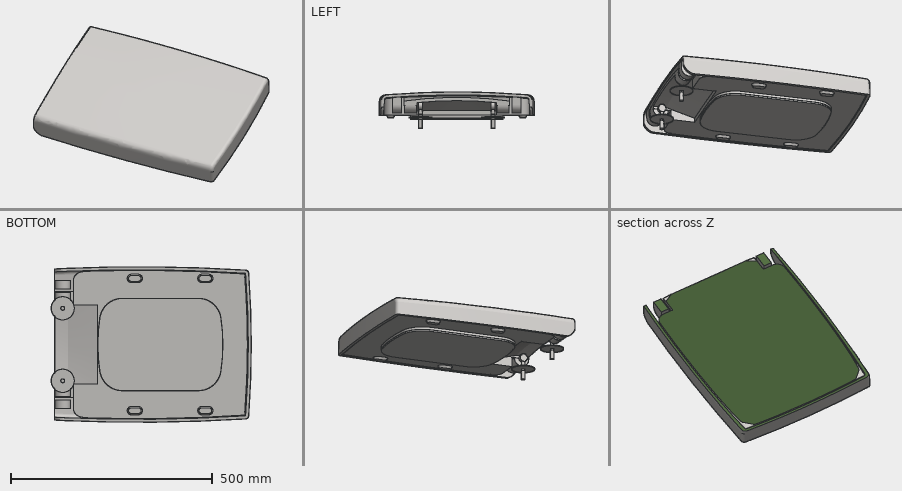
import cadquery as cq

lid_length = 489.0
lid_top = 59.0
back_run = 20.0
lid_start_half_width = 187.0
lid_width = 386.0
lid_mid_half_width = lid_width / 2
lid_mid_x = 223.5
lid_front_half_width = 184.5
lid_front_side_x = 482.0
wall = 7.5
draft_angle = 1.2
ridge_drop = 9.5
back_crown_sag = 10.5
front_crown_sag = 3.5
side_round = 16.5
front_round = 9.0
inner_round_shrink = 0.8
back_edge_round = 3.0
heel_depth = 23.0
heel_height = 22.0
heel_mid = (7.0, 9.5)
edge_margin = 22.5
corner_margin = 5.0
overrun = 10.0

hinge_x = 21.0
hinge_z = 25.5
barrel_diameter = 39.0
post_y = 90.0
ear_y = (137.0, 159.0)
knuckle_y = (100.0, 129.0)

eye_z = 24.0
eye_diameter = 19.5
shank_diameter = 9.0
stud_diameter = 10.0
post_bottom = -31.5
stud_top = -9.5
collar_bottom = 2.0
collar_top = 4.5
eye_clearance = 1.0
disc_diameter = 57.5
disc_bottom = -5.5
disc_rim = 2.0
disc_rise = 2.0

seat_gap = 2.0
seat_bottom = 1.0
seat_wing_x = 47.0
seat_wing_half_width = 180.0
seat_wing_round = 22.5
tongue_x = 1.5
tongue_half_width = 131.0
tunnel_half_width = 98.5
tunnel_straight_x = 35.0
tunnel_top = 37.5
tunnel_end_top = 13.0
tunnel_end_sag = 1.0
arch_sag = 9.5
back_slope_x = 49.5
back_slope_bottom = 45.0
back_slope_top = 48.5
back_slope_top_sag = 3.5

lip_x = (108.0, 418.5)
lip_half_width = 115.0
lip_end_bow = 15.0
lip_corner_round = 56.5
lip_bottom = -9.5
lip_edge_height = 4.0
lip_edge_inset = 0.5

buffer_x = (200.0, 374.5)
buffer_y = 164.0
buffer_straight = 17.0
buffer_width = 21.0
buffer_bottom = -5.5
buffer_draft = 27.0


def arch(x, half_width, top, sag, base):
    """Arched outline across the part at X = x, closed by a straight line at height `base`."""
    return (
        cq.Workplane("YZ", origin=(x, 0, 0))
        .moveTo(-half_width, base)
        .lineTo(-half_width, top - sag)
        .threePointArc((0, top), (half_width, top - sag))
        .lineTo(half_width, base)
        .close()
        .wire()
        .val()
    )


def arch_loft(*outlines, ruled=True):
    """Solid through arched outlines, with straight or smooth sides between them."""
    return cq.Workplane(cq.Solid.makeLoft(list(outlines), ruled))


def crown(top):
    """Solid below the lid's top surface, whose arch flattens towards the front."""
    half = lid_mid_half_width + overrun

    def section(x):
        along = x / lid_length
        ridge = top - ridge_drop * along**2
        sag = back_crown_sag + (front_crown_sag - back_crown_sag) * along
        return arch(x, half, ridge, sag, -overrun)

    return arch_loft(
        section(-back_run - overrun),
        section(lid_mid_x),
        section(lid_length + overrun),
        ruled=False,
    )


def lid_form(inset):
    """Crowned, round-edged solid `inset` inside the outer skin of the lid, running on behind X = 0."""
    start_y = lid_start_half_width - inset
    mid_y = lid_mid_half_width - inset
    front_y = lid_front_half_width - inset
    front_x = lid_front_side_x - inset
    front_tip_x = lid_length - inset
    block = (
        cq.Workplane("XY")
        .moveTo(-back_run, -start_y)
        .threePointArc((lid_mid_x, -mid_y), (front_x, -front_y))
        .threePointArc((front_tip_x, 0), (front_x, front_y))
        .threePointArc((lid_mid_x, mid_y), (-back_run, start_y))
        .close()
        .extrude(lid_top + overrun, taper=draft_angle)
        .intersect(crown(lid_top - inset))
    )
    rounded = block.edges(side_edges()).fillet(side_round - inset)
    return rounded.edges(front_edges(front_x)).fillet(front_round - inner_round_shrink * inset)


def side_edges():
    """Selects the two long top edges before they are rounded."""
    low = lid_top / 2
    front_x = lid_front_side_x - edge_margin
    inner_y = lid_mid_half_width / 2
    right = cq.selectors.BoxSelector((0, -lid_length, low), (front_x, -inner_y, lid_top))
    left = cq.selectors.BoxSelector((0, inner_y, low), (front_x, lid_length, lid_top))
    return right + left


def front_edges(front_x):
    """Selects the front top edge and the front corners, which run into one another."""
    return cq.selectors.BoxSelector(
        (front_x - corner_margin, -lid_length, corner_margin),
        (lid_length, lid_length, lid_top),
    )


def box(x_range, y_range, z_range):
    """Plain block between the given limits."""
    return (
        cq.Workplane("XY")
        .box(
            x_range[1] - x_range[0],
            y_range[1] - y_range[0],
            z_range[1] - z_range[0],
            centered=False,
        )
        .translate((x_range[0], y_range[0], z_range[0]))
    )


def both_sides(part):
    """The part together with its mirror image about Y = 0."""
    return part.union(part.mirror("XZ"))


def barrel(z, y_range, diameter):
    """Cylinder across the part at height `z`, straight above or below the hinge axis."""
    return (
        cq.Workplane("XZ", origin=(hinge_x, y_range[0], z))
        .circle(diameter / 2)
        .extrude(y_range[0] - y_range[1])
    )


def hinge_arm(y_range):
    """Hinge barrel with a block from its axis up."""
    radius = barrel_diameter / 2
    block = box((hinge_x - radius, hinge_x + radius), y_range, (hinge_z, lid_top))
    return both_sides(barrel(hinge_z, y_range, barrel_diameter).union(block))


def make_lid():
    trim = box((0, lid_length), (-lid_length, lid_length), (0, lid_top))
    outer = lid_form(0).intersect(trim)
    outer = outer.faces("<X").edges(">Z").fillet(back_edge_round)
    shell = outer.cut(lid_form(wall))
    heel = (
        cq.Workplane("XZ")
        .moveTo(0, heel_height)
        .threePointArc(heel_mid, (heel_depth, 0))
        .lineTo(0, 0)
        .close()
        .extrude(lid_length, both=True)
    )
    ears = hinge_arm(ear_y).intersect(lid_form(wall / 2))
    return shell.cut(heel).union(ears)


def make_lip():
    length = lip_x[1] - lip_x[0]
    middle_x = (lip_x[0] + lip_x[1]) / 2

    def slab(inset, z_range):
        corner_x = length / 2 - lip_end_bow - inset
        corner_y = lip_half_width - inset
        return (
            cq.Workplane("XY", origin=(middle_x, 0, z_range[0]))
            .moveTo(-corner_x, -corner_y)
            .lineTo(corner_x, -corner_y)
            .threePointArc((corner_x + lip_end_bow, 0), (corner_x, corner_y))
            .lineTo(-corner_x, corner_y)
            .threePointArc((-corner_x - lip_end_bow, 0), (-corner_x, -corner_y))
            .close()
            .extrude(z_range[1] - z_range[0])
            .edges("|Z")
            .fillet(lip_corner_round - inset)
        )

    edge_z = lip_bottom + lip_edge_height
    return slab(0, (edge_z, tunnel_end_top)).union(slab(lip_edge_inset, (lip_bottom, edge_z)))


def seat_wing(form):
    """Full-width part of the seat, with rounded back corners."""
    full_y = (-lid_length, lid_length)
    back_y = (-seat_wing_half_width, seat_wing_half_width)
    z_range = (seat_bottom, lid_top)
    front_x = seat_wing_x + seat_wing_round
    front = box((front_x, lid_length), full_y, z_range)
    back = box((seat_wing_x, front_x + overrun), back_y, z_range)
    back = back.edges("|Z and <X").fillet(seat_wing_round)
    return form.intersect(front.union(back))


def seat_tongue(form):
    """Narrower back of the seat between the lid ears, with its hinge knuckles."""
    tongue_y = (-tongue_half_width, tongue_half_width)
    tongue = box((tongue_x, seat_wing_x + overrun), tongue_y, (hinge_z, lid_top))
    return form.intersect(tongue.union(hinge_arm(knuckle_y)))


def seat_tunnel():
    """Arched hollow under the back of the seat, sloping down to the lip."""
    sag = arch_sag * (tunnel_half_width / tongue_half_width) ** 2
    start = arch(tongue_x - overrun, tunnel_half_width, tunnel_top, sag, lip_bottom)
    bend = arch(tunnel_straight_x, tunnel_half_width, tunnel_top, sag, lip_bottom)
    end = arch(lip_x[0], tunnel_half_width, tunnel_end_top, tunnel_end_sag, lip_bottom)
    return arch_loft(start, bend).union(arch_loft(bend, end))


def above_back_slope():
    """Space above the sloping top of the tongue."""
    half_width = (tongue_half_width + ear_y[0]) / 2
    above = lid_top + overrun
    return arch_loft(
        arch(tongue_x, half_width, back_slope_bottom, arch_sag, above),
        arch(back_slope_x, half_width, back_slope_top, back_slope_top_sag, above),
    )


def eye_rooms():
    """Clearance around the eyes of the hinge posts."""
    half_width = shank_diameter / 2 + eye_clearance
    y_range = (post_y - half_width, post_y + half_width)
    return both_sides(barrel(eye_z, y_range, eye_diameter + 2 * eye_clearance))


def make_seat():
    form = lid_form(wall + seat_gap)
    body = seat_wing(form).union(seat_tongue(form))
    return body.cut(seat_tunnel()).cut(above_back_slope()).cut(eye_rooms()).union(make_lip())


def make_post(y):
    """Hinge post: an eye close to the hinge axis, a shank with a collar, and a thicker stud below."""

    def stem(diameter, z_range):
        return (
            cq.Workplane("XY", origin=(hinge_x, y, z_range[0]))
            .circle(diameter / 2)
            .extrude(z_range[1] - z_range[0])
        )

    eye_y = (y - shank_diameter / 2, y + shank_diameter / 2)
    return (
        barrel(eye_z, eye_y, eye_diameter)
        .union(stem(shank_diameter, (stud_top, eye_z)))
        .union(stem(stud_diameter, (collar_bottom, collar_top)))
        .union(stem(stud_diameter, (post_bottom, stud_top)))
    )


def make_disc(y):
    """Domed foot disc around a post shank."""
    rim_radius = disc_diameter / 2
    dome_radius = (rim_radius**2 + disc_rise**2) / (2 * disc_rise)
    dome_z = disc_bottom + disc_rim + disc_rise - dome_radius
    dome = cq.Workplane("XY").sphere(dome_radius).translate((hinge_x, y, dome_z))
    return (
        cq.Workplane("XY", origin=(hinge_x, y, disc_bottom))
        .circle(rim_radius)
        .circle(shank_diameter / 2)
        .extrude(disc_rim + disc_rise)
        .intersect(dome)
    )


def make_buffers():
    """Tapered slot-shaped feet under the seat."""
    height = seat_bottom - buffer_bottom
    return [
        cq.Workplane("XY", origin=(x, side * buffer_y, seat_bottom))
        .slot2D(buffer_straight + buffer_width, buffer_width)
        .extrude(-height, taper=buffer_draft)
        for x in buffer_x
        for side in (-1, 1)
    ]


lid = make_lid()
seat = make_seat()
posts = [make_post(y) for y in (-post_y, post_y)]
discs = [make_disc(y) for y in (-post_y, post_y)]
buffers = make_buffers()

result = cq.Compound.makeCompound([part.val() for part in [lid, seat, *posts, *discs, *buffers]])